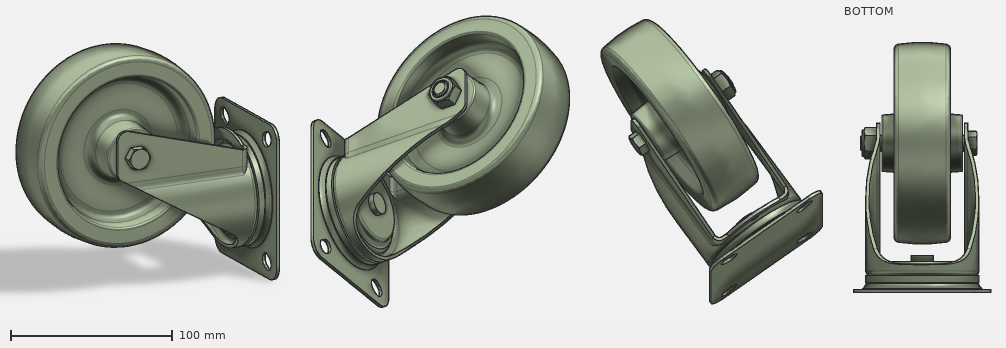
import cadquery as cq
import math


PLATE_WIDTH = 85.0
PLATE_HEIGHT = 100.0
PLATE_THICKNESS = 2.0
PLATE_CORNER_RADIUS = 10.0
SLOT_X = 28.75
SLOT_Z = 39.5
SLOT_WIDTH = 9.0
SLOT_LENGTH = 12.0
SLOT_ANGLE = 30.0

FLARE_RADIUS = 37.0
NECK_RADIUS = 34.8
FLARE_END_Y = -5.7
FLARE_RIM_Y = -2.4
FLARE_SAG_FRACTION = 0.3
RING_RADIUS = 35.2
RING_TOP_Y = -6.3
FORK_TOP_Y = -10.6
SHOULDER_TOP_RADIUS = 30.0
SHOULDER_BASE_RADIUS = 27.3
DISC_ROOT_RADIUS = 25.6
DISC_RADIUS = 23.4
DISC_Y = -19.3
DISC_ROUNDING = 1.5
RIVET_RADIUS = 6.9
RIVET_Y = -23.0

SHEET = 2.1
SKIRT_RADIUS = 35.1
SKIRT_ROUNDING = 2.7
CAVITY_ROUNDING = 3.0
ARM_OUTER_X = 28.2
ARM_TOP_Y = -13.2
BEND_RADIUS = 5.2
BLEND_RADIUS = 9.5
BLEND_OVERLAP = 1.0
SKIRT_END_Y = -17.2
SKIRT_CUT_RADIUS = 20.0
LOWER_EDGE_ANGLE = 30.0
ARM_END_Y = -105.0
ARM_CORNER_RADIUS = 6.0
UPPER_EDGE_START_Y = -18.4
UPPER_EDGE_START_Z = 34.6
UPPER_EDGE_ANGLE = 15.8
TAB_RADIUS = 40.1
FORK_LENGTH = 110.0
ARM_STOCK_HEIGHT = 70.0

AXLE_Y = -92.5
AXLE_Z = 40.0
WHEEL_RADIUS = 62.5
WHEEL_HALF_WIDTH = 17.5
CROWN_RADIUS = 100.0
TREAD_ROUNDING = 3.3
RIM_BORE_RADIUS = 48.5
RIM_ROOT_RADIUS = 46.0
RIM_LIP_ROUNDING = 1.5
WEB_HALF_THICKNESS = 4.5
RIM_BLEND_RADIUS = 6.0
HUB_ROOT_RADIUS = 19.0
HUB_BLEND_RADIUS = 5.5
HUB_END_RADIUS = 17.5
HUB_HALF_LENGTH = 25.0
HUB_ROUNDING = 1.0

AXLE_RADIUS = 5.0
NUT_ACROSS_FLATS = 17.0
NUT_HEX_END_X = -36.0
NUT_END_X = -37.2
COLLAR_RADIUS = 8.3
COLLAR_ROUNDING = 0.6
COLLAR_BORE_RADIUS = 6.1
BOLT_TIP_X = -38.1
BOLT_TIP_CHAMFER = 0.9
HEAD_ACROSS_FLATS = 13.0
HEAD_END_X = 34.0
HEX_CHAMFER_ANGLE = 30.0


def make_plate():
    plate = (
        cq.Workplane("XZ")
        .rect(PLATE_WIDTH, PLATE_HEIGHT)
        .extrude(PLATE_THICKNESS)
        .edges("|Y")
        .fillet(PLATE_CORNER_RADIUS)
    )
    for side_x in (-1, 1):
        for side_z in (-1, 1):
            slot = (
                cq.Workplane("XZ")
                .center(side_x * SLOT_X, side_z * SLOT_Z)
                .slot2D(SLOT_LENGTH, SLOT_WIDTH, side_x * side_z * SLOT_ANGLE)
                .extrude(PLATE_THICKNESS)
            )
            plate = plate.cut(slot)
    return plate


def make_swivel_head():
    base_y = ARM_TOP_Y - SHEET
    disc_root_rounding = DISC_ROOT_RADIUS - DISC_RADIUS
    flare_mid = (
        NECK_RADIUS + FLARE_SAG_FRACTION * (FLARE_RADIUS - NECK_RADIUS),
        (FLARE_RIM_Y + FLARE_END_Y) / 2,
    )
    races = (
        cq.Workplane("XY")
        .moveTo(0, -PLATE_THICKNESS)
        .lineTo(FLARE_RADIUS, -PLATE_THICKNESS)
        .lineTo(FLARE_RADIUS, FLARE_RIM_Y)
        .threePointArc(flare_mid, (NECK_RADIUS, FLARE_END_Y))
        .lineTo(NECK_RADIUS, RING_TOP_Y)
        .lineTo(RING_RADIUS, RING_TOP_Y)
        .lineTo(RING_RADIUS, FORK_TOP_Y)
        .lineTo(SHOULDER_TOP_RADIUS, FORK_TOP_Y)
        .lineTo(SHOULDER_TOP_RADIUS, FORK_TOP_Y - SHEET)
        .lineTo(SHOULDER_BASE_RADIUS, base_y)
        .lineTo(DISC_ROOT_RADIUS, base_y)
        .radiusArc((DISC_RADIUS, base_y - disc_root_rounding), -disc_root_rounding)
        .lineTo(0, base_y - disc_root_rounding)
        .close()
        .revolve(360, (0, 0), (0, 1))
    )
    disc = (
        cq.Workplane("XZ", origin=(0, FORK_TOP_Y, 0))
        .circle(DISC_RADIUS)
        .extrude(FORK_TOP_Y - DISC_Y)
        .faces("<Y")
        .edges()
        .fillet(DISC_ROUNDING)
    )
    rivet = (
        cq.Workplane("XZ", origin=(0, FORK_TOP_Y, 0))
        .circle(RIVET_RADIUS)
        .extrude(FORK_TOP_Y - RIVET_Y)
    )
    return races.union(disc).union(rivet)


def arm_blend(inset):
    """Concave blend from the skirt to the +X arm, which also follows the bend at the arm's root."""
    skirt_radius = SKIRT_RADIUS - inset
    arm_x = ARM_OUTER_X - inset
    radius = BLEND_RADIUS + inset
    centre_x = arm_x + radius
    centre_z = math.sqrt((skirt_radius + radius) ** 2 - centre_x**2)
    skirt_angle = math.atan2(centre_z, centre_x)
    skirt_point = (skirt_radius * math.cos(skirt_angle), skirt_radius * math.sin(skirt_angle))
    mid_angle = math.pi + skirt_angle / 2
    mid_point = (centre_x + radius * math.cos(mid_angle), centre_z + radius * math.sin(mid_angle))

    bend_x = ARM_OUTER_X - BEND_RADIUS
    bend_y = ARM_TOP_Y - BEND_RADIUS
    section = (
        cq.Workplane("XZ", origin=(bend_x, bend_y, 0))
        .moveTo(arm_x - bend_x, centre_z)
        .threePointArc(
            (mid_point[0] - bend_x, mid_point[1]),
            (skirt_point[0] - bend_x, skirt_point[1]),
        )
        .lineTo(arm_x - bend_x - BLEND_OVERLAP, skirt_point[1])
        .lineTo(arm_x - bend_x - BLEND_OVERLAP, centre_z)
        .close()
    )
    along_arm = section.extrude(FORK_LENGTH, combine=False)
    around_bend = section.toPending().revolve(90, (0, 0), (0, 1), combine=False)
    return along_arm.union(around_bend)


def fork_envelope(inset, top_rounding):
    """Solid fork shape, shrunk by `inset` on every wall, long and plain towards -Y."""
    skirt_radius = SKIRT_RADIUS - inset
    arm_half_width = ARM_OUTER_X - inset
    top_y = ARM_TOP_Y - inset

    skirt = (
        cq.Workplane("XZ", origin=(0, FORK_TOP_Y - inset, 0))
        .circle(skirt_radius)
        .extrude(FORK_LENGTH)
        .faces(">Y")
        .edges()
        .fillet(top_rounding)
    )
    bent_arms = (
        cq.Workplane("XZ", origin=(0, top_y, ARM_STOCK_HEIGHT / 2))
        .rect(2 * arm_half_width, ARM_STOCK_HEIGHT)
        .extrude(FORK_LENGTH)
        .edges("|Z and >Y")
        .fillet(BEND_RADIUS - inset)
    )
    return skirt.union(bent_arms).union(arm_blend(inset)).union(arm_blend(inset).mirror("YZ"))


def make_fork_outline():
    """Side outline of the fork, extruded across its full width."""
    lower = math.radians(LOWER_EDGE_ANGLE)
    upper = math.radians(UPPER_EDGE_ANGLE)
    turn = math.pi / 2 - lower
    curve_end = (
        SKIRT_END_Y - SKIRT_CUT_RADIUS * (1 - math.cos(turn)),
        -SKIRT_RADIUS + SKIRT_CUT_RADIUS * math.sin(turn),
    )
    curve_mid = (
        SKIRT_END_Y - SKIRT_CUT_RADIUS * (1 - math.cos(turn / 2)),
        -SKIRT_RADIUS + SKIRT_CUT_RADIUS * math.sin(turn / 2),
    )
    lower_corner = (ARM_END_Y, curve_end[1] + (curve_end[0] - ARM_END_Y) * math.tan(lower))
    upper_corner = (ARM_END_Y, UPPER_EDGE_START_Z + (UPPER_EDGE_START_Y - ARM_END_Y) * math.tan(upper))
    return (
        cq.Workplane("YZ")
        .moveTo(FORK_TOP_Y, -SKIRT_RADIUS)
        .lineTo(SKIRT_END_Y, -SKIRT_RADIUS)
        .threePointArc(curve_mid, curve_end)
        .lineTo(*lower_corner)
        .lineTo(*upper_corner)
        .lineTo(UPPER_EDGE_START_Y, UPPER_EDGE_START_Z)
        .lineTo(FORK_TOP_Y, SKIRT_RADIUS)
        .close()
        .extrude(SKIRT_RADIUS, both=True)
        .edges("|X and <Y")
        .fillet(ARM_CORNER_RADIUS)
    )


def make_fork():
    cavity = fork_envelope(SHEET, CAVITY_ROUNDING)
    shell = fork_envelope(0, SKIRT_ROUNDING).cut(cavity)
    tab_half_width = ARM_OUTER_X - BEND_RADIUS
    tab = (
        cq.Workplane("XZ", origin=(0, ARM_TOP_Y, 0))
        .circle(TAB_RADIUS)
        .extrude(SHEET)
        .intersect(cq.Workplane("XY").rect(2 * tab_half_width, FORK_LENGTH).extrude(TAB_RADIUS))
        .cut(cavity)
    )
    return shell.intersect(make_fork_outline()).union(tab)


def ring_edge(edge_x, edge_radius):
    """Selector for the circular edge of given radius about the X axis, at edge_x."""
    slack = 0.1
    outer = edge_radius + slack
    inner = edge_radius - slack
    return cq.selectors.BoxSelector(
        (edge_x - slack, -outer, -outer), (edge_x + slack, outer, outer), boundingbox=True
    ) - cq.selectors.BoxSelector(
        (edge_x - slack, -inner, -inner), (edge_x + slack, inner, inner), boundingbox=True
    )


def make_wheel():
    crown_drop = CROWN_RADIUS - math.sqrt(CROWN_RADIUS**2 - WHEEL_HALF_WIDTH**2)
    tread_edge_radius = WHEEL_RADIUS - crown_drop
    wheel = (
        cq.Workplane("XY")
        .moveTo(-HUB_HALF_LENGTH, 0)
        .lineTo(-HUB_HALF_LENGTH, HUB_END_RADIUS)
        .lineTo(-WEB_HALF_THICKNESS, HUB_ROOT_RADIUS)
        .lineTo(-WEB_HALF_THICKNESS, RIM_ROOT_RADIUS)
        .lineTo(-WHEEL_HALF_WIDTH, RIM_BORE_RADIUS)
        .lineTo(-WHEEL_HALF_WIDTH, tread_edge_radius)
        .threePointArc((0, WHEEL_RADIUS), (WHEEL_HALF_WIDTH, tread_edge_radius))
        .lineTo(WHEEL_HALF_WIDTH, RIM_BORE_RADIUS)
        .lineTo(WEB_HALF_THICKNESS, RIM_ROOT_RADIUS)
        .lineTo(WEB_HALF_THICKNESS, HUB_ROOT_RADIUS)
        .lineTo(HUB_HALF_LENGTH, HUB_END_RADIUS)
        .lineTo(HUB_HALF_LENGTH, 0)
        .close()
        .revolve(360, (0, 0), (1, 0))
    )
    rounded_edges = (
        (WHEEL_HALF_WIDTH, tread_edge_radius, TREAD_ROUNDING),
        (WHEEL_HALF_WIDTH, RIM_BORE_RADIUS, RIM_LIP_ROUNDING),
        (WEB_HALF_THICKNESS, RIM_ROOT_RADIUS, RIM_BLEND_RADIUS),
        (WEB_HALF_THICKNESS, HUB_ROOT_RADIUS, HUB_BLEND_RADIUS),
        (HUB_HALF_LENGTH, HUB_END_RADIUS, HUB_ROUNDING),
    )
    for edge_x, edge_radius, rounding in rounded_edges:
        for side in (-1, 1):
            wheel = wheel.edges(ring_edge(side * edge_x, edge_radius)).fillet(rounding)
    return wheel.translate((0, AXLE_Y, AXLE_Z))


def hexagon(across_flats, inner_x, outer_x):
    """Hexagonal prism along the axle with flats facing up and down, chamfered at its outer end."""
    across_corners = across_flats / math.cos(math.pi / 6)
    length = outer_x - inner_x
    prism = (
        cq.Workplane("YZ", origin=(inner_x, AXLE_Y, AXLE_Z))
        .polygon(6, across_corners)
        .extrude(length)
    )
    chamfer_rise = (across_corners - across_flats) / 2
    chamfer_run = math.copysign(chamfer_rise * math.tan(math.radians(HEX_CHAMFER_ANGLE)), length)
    envelope = (
        cq.Workplane("XY")
        .moveTo(inner_x, 0)
        .lineTo(inner_x, across_corners / 2)
        .lineTo(outer_x - chamfer_run, across_corners / 2)
        .lineTo(outer_x, across_flats / 2)
        .lineTo(outer_x, 0)
        .close()
        .revolve(360, (0, 0), (1, 0))
        .translate((0, AXLE_Y, AXLE_Z))
    )
    return prism.intersect(envelope)


def make_axle():
    shank = (
        cq.Workplane("YZ", origin=(BOLT_TIP_X, AXLE_Y, AXLE_Z))
        .circle(AXLE_RADIUS)
        .extrude(ARM_OUTER_X - BOLT_TIP_X)
        .faces("<X")
        .chamfer(BOLT_TIP_CHAMFER)
    )
    collar = (
        cq.Workplane("YZ", origin=(NUT_END_X, AXLE_Y, AXLE_Z))
        .circle(COLLAR_RADIUS)
        .extrude(NUT_HEX_END_X - NUT_END_X)
        .faces("<X")
        .edges()
        .fillet(COLLAR_ROUNDING)
        .faces("<X")
        .workplane(centerOption="CenterOfMass")
        .hole(2 * COLLAR_BORE_RADIUS)
    )
    nut = hexagon(NUT_ACROSS_FLATS, -ARM_OUTER_X, NUT_HEX_END_X).union(collar)
    head = hexagon(HEAD_ACROSS_FLATS, ARM_OUTER_X, HEAD_END_X)
    return shank.union(nut).union(head)


caster_parts = (make_swivel_head(), make_fork(), make_wheel(), make_axle())
result = make_plate()
for caster_part in caster_parts:
    result = result.union(caster_part)